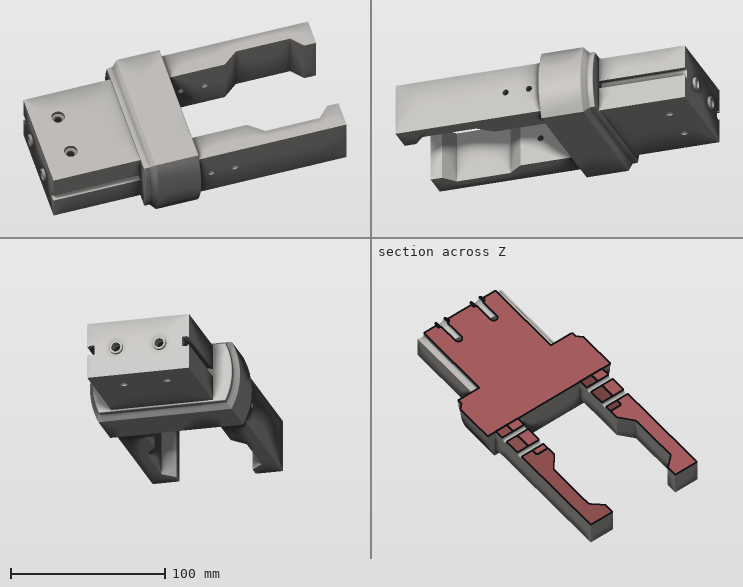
import cadquery as cq

BLOCK_WIDTH = 68.5
BLOCK_HEIGHT = 37.5
BLOCK_LENGTH = 58.8

FLANGE_WIDTH = 101.0
FLANGE_HEIGHT = 47.0
NECK_LENGTH = 3.7
SHOULDER = 3.5
RIM_LENGTH = 29.0
EDGE_RADIUS = 0.5

SLOT_MOUTH = 5.3
SLOT_DEPTH = 4.7
SLOT_LIP = 1.2
SLOT_HEIGHT = 6.7
SLOT_CHAMFER = 0.4

MOUNT_SPACING = 29.0
MOUNT_BORE = 5.0
MOUNT_BORE_CHAMFER = 0.5
SLEEVE_DIAMETER = 8.9
SLEEVE_BORE = 6.1
SLEEVE_SEAT_DEPTH = 2.4
SLEEVE_PROTRUSION = 2.0
SLEEVE_CHAMFER = 0.4
CROSS_BORE_Y = 17.5

FINGER_SPAN = 87.4
FINGER_THICKNESS = 18.1
FINGER_WAIST = 10.0
FINGER_HEIGHT = 35.0
FINGER_LENGTH = 100.2
TIP_LENGTH = 7.9
WAIST_END = 15.2
WAIST_START = 51.9
ROOT_LENGTH_FROM_TIP = 61.7

JAW_LENGTH = 31.4
JAW_HEIGHT = 14.5
JAW_DEPTH = 8.9
JAW_BOLT_DIAMETER = 4.1
JAW_BOLT_OFFSETS = (8.7, 24.6)

neck_end = BLOCK_LENGTH + NECK_LENGTH
rim_start = neck_end + SHOULDER
flange_end = rim_start + RIM_LENGTH
finger_tip = flange_end + FINGER_LENGTH

MOUNT_XS = (-MOUNT_SPACING / 2, MOUNT_SPACING / 2)
SIDES = (-1, 1)


def y_cylinder(diameter, x, start, end):
    """Cylinder along Y at height Z = 0."""
    axis = cq.Vector(0, 1, 0)
    return cq.Workplane(cq.Solid.makeCylinder(diameter / 2, end - start, cq.Vector(x, start, 0), axis))


def y_box(width, height, start, end):
    """Box centred on the Y axis."""
    return cq.Workplane("XY").box(width, end - start, height).translate((0, (start + end) / 2, 0))


def flange_section(width, height, start, end):
    """Disc of the given width, cut flat above and below."""
    return y_cylinder(width, 0, start, end).intersect(y_box(width, height, start, end))


def make_flange():
    """Rim with a sloping shoulder, and the narrower neck behind it."""
    rim = flange_section(FLANGE_WIDTH, FLANGE_HEIGHT, neck_end, flange_end)
    rim = rim.faces("<Y").chamfer(SHOULDER).faces(">Y").edges().fillet(EDGE_RADIUS)
    shoulder_start = cq.selectors.BoxSelector(
        (-FLANGE_WIDTH, rim_start - EDGE_RADIUS, -FLANGE_HEIGHT),
        (FLANGE_WIDTH, rim_start + EDGE_RADIUS, FLANGE_HEIGHT),
        True,
    )
    rim = rim.edges(shoulder_start).fillet(EDGE_RADIUS)
    neck = flange_section(FLANGE_WIDTH - 2 * SHOULDER, FLANGE_HEIGHT - 2 * SHOULDER, BLOCK_LENGTH, neck_end)
    return rim.union(neck.faces("<Y").edges().fillet(EDGE_RADIUS))


def t_slot(side):
    """T-slot in one side of the block, open at the mounting face."""
    wall = BLOCK_WIDTH / 2
    lip = wall - SLOT_LIP
    floor = wall - SLOT_DEPTH
    mouth = SLOT_MOUTH / 2
    head = SLOT_HEIGHT / 2
    upper_half = [
        (wall, mouth),
        (lip, mouth),
        (lip, head),
        (floor + SLOT_CHAMFER, head),
        (floor, head - SLOT_CHAMFER),
    ]
    lower_half = [(x, -z) for x, z in reversed(upper_half)]
    outline = [(side * x, z) for x, z in upper_half + lower_half]
    return cq.Workplane("XZ").polyline(outline).close().extrude(-BLOCK_LENGTH)


def mount_hole(depth):
    """Hole down from Z = 0: a sleeve seat, then a bore with a chamfered mouth."""
    seat_radius = SLEEVE_DIAMETER / 2
    bore_radius = MOUNT_BORE / 2
    profile = [
        (0, 0),
        (seat_radius, 0),
        (seat_radius, -SLEEVE_SEAT_DEPTH),
        (bore_radius + MOUNT_BORE_CHAMFER, -SLEEVE_SEAT_DEPTH),
        (bore_radius, -SLEEVE_SEAT_DEPTH - MOUNT_BORE_CHAMFER),
        (bore_radius, -depth),
        (0, -depth),
    ]
    return cq.Workplane("XZ").polyline(profile).close().revolve(360, (0, 0), (0, 1))


def make_housing():
    """Block and flange in one piece, with side slots, face holes and cross holes."""
    housing = y_box(BLOCK_WIDTH, BLOCK_HEIGHT, 0, BLOCK_LENGTH).union(make_flange())
    for side in SIDES:
        housing = housing.cut(t_slot(side))
    face_hole = mount_hole(CROSS_BORE_Y).rotate((0, 0, 0), (1, 0, 0), 90)
    cross_hole = mount_hole(BLOCK_HEIGHT)
    for x in MOUNT_XS:
        housing = housing.cut(face_hole.translate((x, 0, 0)))
        housing = housing.cut(cross_hole.translate((x, CROSS_BORE_Y, BLOCK_HEIGHT / 2)))
    return housing


def make_sleeve(x):
    """Centring sleeve, seated in the mounting face and standing out of it."""
    outside = y_cylinder(SLEEVE_DIAMETER, x, -SLEEVE_PROTRUSION, SLEEVE_SEAT_DEPTH)
    outside = outside.faces("<Y").edges().chamfer(SLEEVE_CHAMFER)
    return outside.cut(y_cylinder(SLEEVE_BORE, x, -SLEEVE_PROTRUSION, SLEEVE_SEAT_DEPTH))


def bolt_holes():
    """Two bolt holes across the whole width, through both fingers and both jaws."""
    points = [(flange_end + offset, 0) for offset in JAW_BOLT_OFFSETS]
    return cq.Workplane("YZ").pushPoints(points).circle(JAW_BOLT_DIAMETER / 2).extrude(FINGER_SPAN / 2, both=True)


def jaw_block(side):
    """Space taken by one jaw, flush with the inner face of its finger."""
    inner_face = FINGER_SPAN / 2 - FINGER_THICKNESS
    center = (side * (inner_face + JAW_DEPTH / 2), flange_end + JAW_LENGTH / 2, 0)
    return cq.Workplane("XY").box(JAW_DEPTH, JAW_LENGTH, JAW_HEIGHT).translate(center)


def make_jaw(side):
    return jaw_block(side).cut(bolt_holes())


def make_finger(side):
    """Finger with a waisted inner face and a pocket for its jaw."""
    outer = side * FINGER_SPAN / 2
    inner = outer - side * FINGER_THICKNESS
    waist = outer - side * FINGER_WAIST
    outline = [
        (outer, flange_end),
        (outer, finger_tip),
        (inner, finger_tip),
        (inner, finger_tip - TIP_LENGTH),
        (waist, finger_tip - WAIST_END),
        (waist, finger_tip - WAIST_START),
        (inner, finger_tip - ROOT_LENGTH_FROM_TIP),
        (inner, flange_end),
    ]
    finger = cq.Workplane("XY").polyline(outline).close().extrude(FINGER_HEIGHT / 2, both=True)
    return finger.cut(jaw_block(side)).cut(bolt_holes())


housing = make_housing()
sleeves = [make_sleeve(x) for x in MOUNT_XS]
fingers = [make_finger(side) for side in SIDES]
jaws = [make_jaw(side) for side in SIDES]

bodies = [housing, *sleeves, *fingers, *jaws]
result = cq.Compound.makeCompound([body.val() for body in bodies])